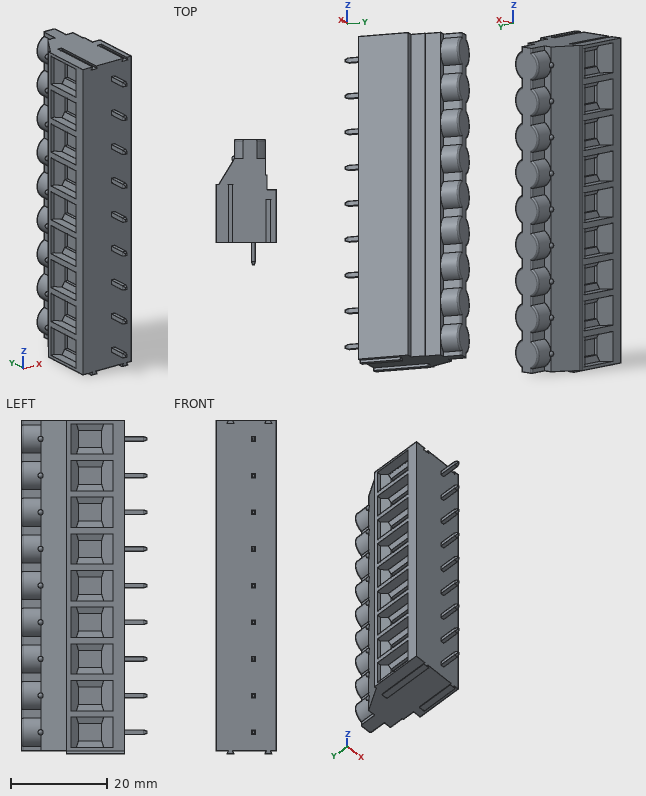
import cadquery as cq


body_width = 12.5
total_height = 69.2
joint_depth = 0.6
body_height = total_height - joint_depth
entry_lip = 0.55
entry_face_length = 12.1
shoulder_y = 17.45
screw_top_y = 21.45
back_x = 10.3
back_step_x = 10.6
back_step_y = 14.05
foot_y = 11.0

pole_count = 9
pole_pitch = 7.6
first_pole_z = (body_height - (pole_count - 1) * pole_pitch) / 2
pole_heights = [first_pole_z + i * pole_pitch for i in range(pole_count)]

screw_x = 7.05
screw_radius = 3.25
web_width = 2.9
top_fillet = 0.35
screw_height = screw_top_y - shoulder_y

slope_top_x = screw_x - screw_radius
bead_radius = 0.55

entry_low_y = 2.4
entry_high_y = 11.2
entry_height = 6.3
throat_low_y = 4.8
throat_high_y = 9.6
throat_height = 3.6
high_wall_depth = 0.8
side_wall_depth = 2.0
funnel_depth = 2.4
entry_depth = 3.1

pin_x = 7.75
pin_width = 0.8
pin_thickness = 1.0
pin_length = 4.65
pin_tip_length = 0.7
pin_tip_scale = 0.5
pin_shank = pin_length - pin_tip_length

short_joint_length = 8.9
joints = [(3.0, entry_face_length), (10.85, short_joint_length)]
dovetail_neck = 0.9
dovetail_base = 1.45


def make_body():
    outline = [
        (0, 0),
        (body_width, 0),
        (body_width, foot_y),
        (back_step_x, foot_y),
        (back_step_x, back_step_y),
        (back_x, back_step_y),
        (back_x, shoulder_y),
        (slope_top_x, shoulder_y),
        (entry_lip, entry_face_length),
        (0, entry_face_length),
    ]
    return cq.Workplane("XY").polyline(outline).close().extrude(body_height)


def make_web():
    return (
        cq.Workplane("XY")
        .box(web_width, screw_height, body_height, centered=(True, False, False))
        .edges(">Y and |Z")
        .fillet(top_fillet)
        .translate((screw_x, shoulder_y, 0))
    )


def make_screw_housing(z):
    return (
        cq.Workplane("XZ", origin=(screw_x, shoulder_y, z))
        .circle(screw_radius)
        .extrude(-screw_height)
        .faces(">Y")
        .edges()
        .fillet(top_fillet)
    )


def make_bead(z):
    return cq.Workplane("XY").sphere(bead_radius).translate((slope_top_x, shoulder_y, z))


def make_wire_entry(z):
    """Funnel and throat: the space common to a plan outline and a side outline."""
    plan_outline = [
        (0, entry_low_y),
        (funnel_depth, throat_low_y),
        (entry_depth, throat_low_y),
        (entry_depth, throat_high_y),
        (funnel_depth, throat_high_y),
        (high_wall_depth, entry_high_y),
        (0, entry_high_y),
    ]
    side_outline = [
        (0, -entry_height / 2),
        (side_wall_depth, -entry_height / 2),
        (funnel_depth, -throat_height / 2),
        (entry_depth, -throat_height / 2),
        (entry_depth, throat_height / 2),
        (funnel_depth, throat_height / 2),
        (side_wall_depth, entry_height / 2),
        (0, entry_height / 2),
    ]
    plan = (
        cq.Workplane("XY", origin=(0, 0, z))
        .polyline(plan_outline)
        .close()
        .extrude(entry_height / 2, both=True)
    )
    side = cq.Workplane("XZ", origin=(0, 0, z)).polyline(side_outline).close().extrude(-entry_high_y)
    return plan.intersect(side)


def make_pin(z):
    shank = cq.Workplane("XZ", origin=(pin_x, 0, z)).rect(pin_width, pin_thickness).extrude(pin_shank)
    tip = (
        cq.Workplane("XZ", origin=(pin_x, -pin_shank, z))
        .rect(pin_width, pin_thickness)
        .workplane(offset=pin_tip_length)
        .rect(pin_width * pin_tip_scale, pin_thickness * pin_tip_scale)
        .loft()
    )
    return shank.union(tip)


def make_dovetail(x, length, end_z):
    """Dovetail bar reaching joint_depth below end_z, wider at its lower face."""
    outline = [
        (x - dovetail_neck / 2, end_z),
        (x + dovetail_neck / 2, end_z),
        (x + dovetail_base / 2, end_z - joint_depth),
        (x - dovetail_base / 2, end_z - joint_depth),
    ]
    return cq.Workplane("XZ").polyline(outline).close().extrude(-length)


result = make_body().union(make_web())

for pole_z in pole_heights:
    result = result.union(make_screw_housing(pole_z))
    result = result.union(make_bead(pole_z))
    result = result.union(make_pin(pole_z))
    result = result.cut(make_wire_entry(pole_z))

for joint_x, joint_length in joints:
    result = result.union(make_dovetail(joint_x, joint_length, 0))
    result = result.cut(make_dovetail(joint_x, joint_length, body_height))